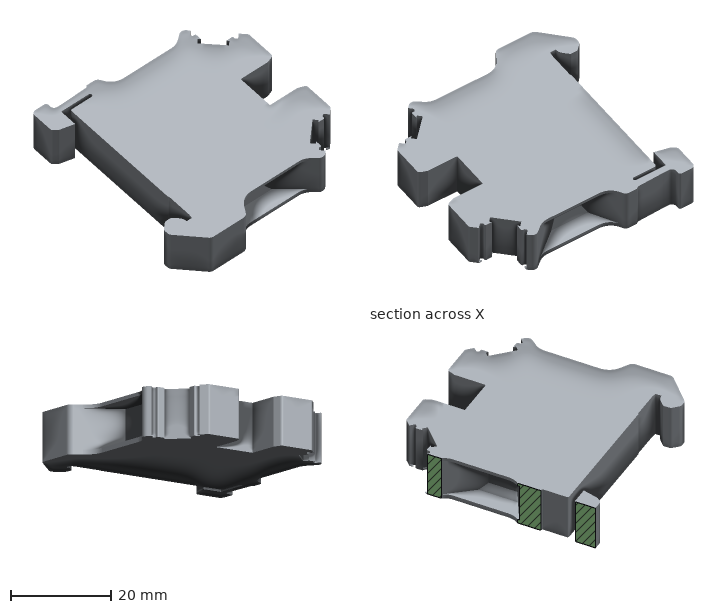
import math

import cadquery as cq


THICKNESS = 10.2
HEIGHT = 46.63
WIDTH = 48.76
FOOT_LEFT_X = -24.55
RIGHT_X = FOOT_LEFT_X + WIDTH

BODY_HALF_WIDTH = 19.76
RAIL_FACE_Y = 6.37

NOTCH_HALF_WIDTH = 4.54
NOTCH_FLOOR_Y = 37.7
NOTCH_FLARE_Y = 44.8
NOTCH_FLARE = 0.7
NOTCH_EDGE_RADIUS = 0.6

ARM_ROOT_Y = 33.78
ARM_LEAN = math.radians(39.2)
ARM_ROOT_RADIUS = 4.0
ARM_TIP_RADIUS = 1.3

SHOULDER_ROOT_Y = 17.62
SHOULDER_SLOPE = math.radians(30)
SHOULDER_ROOT_RADIUS = 4.12
SHOULDER_TIP_RADIUS = 1.4

SEAT_X = -15.2
SEAT_Y = 39.46
SEAT_HALF_LENGTH = 3.17
SEAT_RIM_V = 3.3
LIP = 0.49
LIP_HEIGHT = 1.2
BEAD_BASE_U = 2.55
BEAD_TOP_U = 3.7
BEAD_TOP_V = 2.37
BEAD_RADIUS = 0.2
GROOVE_START_U = 4.25
GROOVE_START_V = 1.9
GROOVE_END_U = 4.75
GROOVE_END_V = 2.0
HOOK_U = 4.85
HOOK_ROOT_V = 2.3
HOOK_LIP_V = 2.6
SEAT_WEB_THICKNESS = 0.2
HEAD_CORNER_RADIUS = 0.6

LEG_SHOULDER_X = -23.03
LEG_SHOULDER_END_Y = 13.1
LEG_TOP_X = -22.6
LEG_TOP_Y = 12.65
LEG_TOP_RADIUS = 0.6
LEG_BOTTOM_X = -22.37
SLOT_LEFT_X = -20.91
SLOT_RIGHT_X = -20.05
SLOT_TOP_Y = 12.3
SLOT_RADIUS = (SLOT_RIGHT_X - SLOT_LEFT_X) / 2
SLOT_MOUTH_RADIUS = 0.4
FOOT_STEP_Y = 3.9
FOOT_STEP_RADIUS = 1.0
FOOT_STEP_EDGE_RADIUS = 0.5
FOOT_TOP_Y = 4.69
FOOT_TOE_X = -16.6
FOOT_TOE_CHAMFER_X = -17.46
FOOT_TOE_CHAMFER_Y = 1.15
FOOT_TOE_BOTTOM_X = -18.35
FOOT_HEEL_RADIUS = 1.0
FOOT_TOE_CHAMFER_RADIUS = 1.0
FOOT_TOE_RADIUS = 0.7

RELIEF_START_X = 10.25
RELIEF_END_X = 16.55
RELIEF_DEPTH = 0.16
RAIL_HOOK_WALL_X = 17.6
RAIL_HOOK_TOP_X = 16.7
RAIL_HOOK_TOP_Y = 5.02
RAIL_HOOK_TOP_RADIUS = 2.1
RAIL_HOOK_TIP_X = 14.91
RAIL_HOOK_TIP_RADIUS = 0.5
RAIL_HOOK_BOTTOM_START_X = 16.5
RAIL_HOOK_BOTTOM_END_X = 18.08
RAIL_HOOK_BOTTOM_RADIUS = 1.1
RAIL_HOOK_HEEL_Y = 5.9
RAIL_HOOK_HEEL_RADIUS = 1.3

POCKET_FLOOR_Z = 1.0
POCKET_ROOF_Z = 9.45
POCKET_BACK_X = -14.4
RAMP_LENGTH = 1.3
RAMP_HEIGHT = 1.45


def arm_line_y(x):
    """Height of the left arm's underside line at x."""
    return ARM_ROOT_Y - (x + BODY_HALF_WIDTH) / math.tan(ARM_LEAN)


def shoulder_line_y(x):
    """Height of the left shoulder line at x."""
    return SHOULDER_ROOT_Y + (x + BODY_HALF_WIDTH) * math.tan(SHOULDER_SLOPE)


def seat_point(u, v):
    """Point of the left marker seat frame in part coordinates."""
    diagonal = math.sqrt(0.5)
    return (SEAT_X + (u - v) * diagonal, SEAT_Y + (u + v) * diagonal)


def mirrored(corners):
    """Corners reflected in X = 0, in reverse order."""
    return [(-x, y, radius) for x, y, radius in reversed(corners)]


def rounded_outline(corners):
    """Closed outline through (x, y, radius) corners, each rounded by a tangent arc."""
    outline = None
    for i, (x, y, radius) in enumerate(corners):
        corner = cq.Vector(x, y)
        to_last = (cq.Vector(*corners[i - 1][:2]) - corner).normalized()
        to_next = (cq.Vector(*corners[(i + 1) % len(corners)][:2]) - corner).normalized()
        half_angle = to_last.getAngle(to_next) / 2
        reach = radius / math.tan(half_angle)
        start = corner + to_last * reach
        if outline is None:
            outline = cq.Workplane("XY").moveTo(start.x, start.y)
        elif (start - last_end).Length > 1e-6:
            outline = outline.lineTo(start.x, start.y)
        last_end = start
        if radius > 0:
            bisector = (to_last + to_next).normalized()
            middle = corner + bisector * (radius / math.sin(half_angle) - radius)
            last_end = corner + to_next * reach
            outline = outline.threePointArc(middle.toTuple()[:2], last_end.toTuple()[:2])
    return outline.close()


def seat_end_corners():
    """(u, v, radius) corners of the upper seat end, from the floor out to the hook tip."""
    return [
        (SEAT_HALF_LENGTH, 0, 0),
        (SEAT_HALF_LENGTH, LIP_HEIGHT, 0),
        (BEAD_BASE_U, LIP_HEIGHT, 0),
        (BEAD_TOP_U, BEAD_TOP_V, BEAD_RADIUS),
        (GROOVE_START_U, GROOVE_START_V, 0),
        (GROOVE_END_U, GROOVE_END_V, 0),
        (HOOK_U, HOOK_ROOT_V, 0),
        (HOOK_U, SEAT_RIM_V, 0),
    ]


def upper_left_corners():
    """Left half of the upper body, from the shoulder root up to the top notch."""
    rim_x, rim_y = seat_point(0, SEAT_RIM_V)
    rim_rise = rim_y - rim_x
    lean = math.tan(ARM_LEAN)
    arm_tip_x = (ARM_ROOT_Y - BODY_HALF_WIDTH / lean - rim_rise) / (1 + 1 / lean)
    corners = [
        (-BODY_HALF_WIDTH, SHOULDER_ROOT_Y, SHOULDER_ROOT_RADIUS),
        (-BODY_HALF_WIDTH, ARM_ROOT_Y, ARM_ROOT_RADIUS),
        (arm_tip_x, arm_line_y(arm_tip_x), ARM_TIP_RADIUS),
    ]
    seat_end = seat_end_corners()
    corners += [(*seat_point(-u, v), radius) for u, v, radius in reversed(seat_end)]
    corners += [(*seat_point(u, v), radius) for u, v, radius in seat_end]
    corners += [
        (HEIGHT - rim_rise, HEIGHT, HEAD_CORNER_RADIUS),
        (-NOTCH_HALF_WIDTH - NOTCH_FLARE, HEIGHT, NOTCH_EDGE_RADIUS),
        (-NOTCH_HALF_WIDTH, NOTCH_FLARE_Y, 0),
        (-NOTCH_HALF_WIDTH, NOTCH_FLOOR_Y, 0),
    ]
    return corners


def rail_hook_corners():
    """Right shoulder and rail hook, ending on the rail face."""
    tip_low_y = RAIL_HOOK_BOTTOM_START_X - RAIL_HOOK_TIP_X
    tip_high_y = RAIL_HOOK_TOP_Y - (RAIL_HOOK_TOP_X - RAIL_HOOK_TIP_X)
    relief_y = RAIL_FACE_Y + RELIEF_DEPTH
    return [
        (RIGHT_X, shoulder_line_y(-RIGHT_X), SHOULDER_TIP_RADIUS),
        (RIGHT_X, RAIL_HOOK_HEEL_Y, RAIL_HOOK_HEEL_RADIUS),
        (RAIL_HOOK_BOTTOM_END_X, 0, RAIL_HOOK_BOTTOM_RADIUS),
        (RAIL_HOOK_BOTTOM_START_X, 0, RAIL_HOOK_BOTTOM_RADIUS),
        (RAIL_HOOK_TIP_X, tip_low_y, RAIL_HOOK_BOTTOM_RADIUS),
        (RAIL_HOOK_TIP_X, tip_high_y, RAIL_HOOK_TIP_RADIUS),
        (RAIL_HOOK_TOP_X, RAIL_HOOK_TOP_Y, RAIL_HOOK_TOP_RADIUS),
        (RAIL_HOOK_WALL_X, RAIL_HOOK_TOP_Y, 0),
        (RAIL_HOOK_WALL_X, RAIL_FACE_Y, 0),
        (RELIEF_END_X, relief_y, 0),
        (RELIEF_START_X, relief_y, 0),
        (RELIEF_START_X, RAIL_FACE_Y, 0),
    ]


def spring_leg_corners():
    """Slot, foot and spring leg, from the rail face up to the left shoulder."""
    return [
        (SLOT_RIGHT_X, RAIL_FACE_Y, SLOT_MOUTH_RADIUS),
        (SLOT_RIGHT_X, SLOT_TOP_Y, SLOT_RADIUS),
        (SLOT_LEFT_X, SLOT_TOP_Y, SLOT_RADIUS),
        (SLOT_LEFT_X, FOOT_TOP_Y, 0),
        (FOOT_TOE_X, FOOT_TOP_Y, 0),
        (FOOT_TOE_CHAMFER_X, FOOT_TOE_CHAMFER_Y, FOOT_TOE_CHAMFER_RADIUS),
        (FOOT_TOE_BOTTOM_X, 0, FOOT_TOE_RADIUS),
        (FOOT_LEFT_X, 0, FOOT_HEEL_RADIUS),
        (FOOT_LEFT_X, FOOT_STEP_Y, FOOT_STEP_EDGE_RADIUS),
        (LEG_BOTTOM_X, FOOT_STEP_Y, FOOT_STEP_RADIUS),
        (LEG_BOTTOM_X, RAIL_FACE_Y, 0),
        (LEG_TOP_X, LEG_TOP_Y, LEG_TOP_RADIUS),
        (LEG_SHOULDER_X, LEG_SHOULDER_END_Y, 0),
        (LEG_SHOULDER_X, shoulder_line_y(LEG_SHOULDER_X), SHOULDER_TIP_RADIUS),
    ]


def make_body():
    left = upper_left_corners()
    corners = left + mirrored(left) + rail_hook_corners() + spring_leg_corners()
    return rounded_outline(corners).extrude(THICKNESS)


def make_seat_webs():
    """Thin webs at the bottom face that close the undercuts of the left marker seat."""
    lip_u = SEAT_HALF_LENGTH - LIP
    lip_web = [
        (lip_u, 0),
        (SEAT_HALF_LENGTH, 0),
        (SEAT_HALF_LENGTH, LIP_HEIGHT),
        (lip_u, LIP_HEIGHT),
    ]
    hook_web = [
        (HOOK_U, HOOK_LIP_V),
        (HOOK_U - LIP, HOOK_LIP_V),
        (HOOK_U - LIP, SEAT_RIM_V - LIP),
        (HOOK_U, SEAT_RIM_V),
    ]
    webs = cq.Workplane("XY")
    for side in (1, -1):
        for web in (lip_web, hook_web):
            points = [seat_point(side * u, v) for u, v in web]
            webs = webs.add(cq.Workplane("XY").polyline(points).close().extrude(SEAT_WEB_THICKNESS))
    return webs.combine()


def make_pocket():
    """Void of the left wire entry, its walls continuing the arm and shoulder slopes."""
    arm_reach = ARM_ROOT_RADIUS * math.tan(ARM_LEAN / 2)
    shoulder_turn = math.pi / 2 - SHOULDER_SLOPE
    shoulder_reach = SHOULDER_ROOT_RADIUS * math.tan(shoulder_turn / 2)
    arm_x = -BODY_HALF_WIDTH - arm_reach * math.sin(ARM_LEAN)
    shoulder_x = -BODY_HALF_WIDTH - shoulder_reach * math.cos(SHOULDER_SLOPE)
    outline = [
        (arm_x, arm_line_y(arm_x)),
        (POCKET_BACK_X, arm_line_y(POCKET_BACK_X)),
        (POCKET_BACK_X, shoulder_line_y(POCKET_BACK_X)),
        (shoulder_x, shoulder_line_y(shoulder_x)),
    ]
    void = (
        cq.Workplane("XY", origin=(0, 0, POCKET_FLOOR_Z))
        .polyline(outline)
        .close()
        .extrude(POCKET_ROOF_Z - POCKET_FLOOR_Z)
    )
    ramp = (
        cq.Workplane("XZ")
        .moveTo(POCKET_BACK_X - RAMP_LENGTH, POCKET_FLOOR_Z)
        .lineTo(POCKET_BACK_X, POCKET_FLOOR_Z)
        .lineTo(POCKET_BACK_X, POCKET_FLOOR_Z + RAMP_HEIGHT)
        .close()
        .extrude(-HEIGHT)
    )
    return void.cut(ramp)


result = make_body()
seat_webs = make_seat_webs()
pocket = make_pocket()
result = result.union(seat_webs).union(seat_webs.mirror("YZ"))
result = result.cut(pocket).cut(pocket.mirror("YZ"))